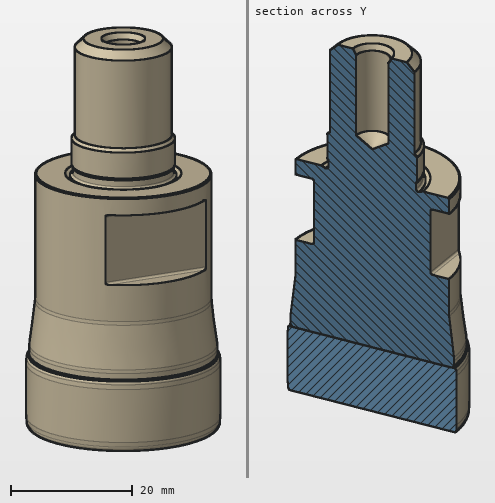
import cadquery as cq
import math

total_height = 66.0

cap_diameter = 31.95
cap_height = 11.9
rim_diameter = 31.15
cap_end_taper = 0.05
cap_taper_height = 0.8
cap_bottom_edge = 0.8
cap_top_edge = 0.45

flare_diameter = 30.95
body_diameter = 29.0
seam_chamfer = 0.3
flare_bottom = 13.5
flare_top = 21.5
flare_blend_radius = 5.0
shoulder_height = 42.95
shoulder_chamfer = 0.2

undercut_diameter = 19.1
undercut_depth = 0.3
neck_fillet = 0.45

neck_diameter = 16.6
pilot_diameter = 17.0
pilot_bottom = 44.55
pilot_top = 49.0
pilot_bottom_chamfer_height = 0.4
pilot_top_chamfer_height = 0.6
shank_diameter = 16.0
tip_chamfer = 1.45

hole_diameter = 6.0
hole_depth = 15.85
hole_mouth_chamfer = 0.6
hole_mouth_depth = 1.05
drill_point_angle = 118.0

flat_spacing = 22.0
flat_bottom = 28.05
flat_height = 11.95
flat_corner_radius = 0.4

cap_radius = cap_diameter / 2
flare_radius = flare_diameter / 2
body_radius = body_diameter / 2
undercut_radius = undercut_diameter / 2
neck_radius = neck_diameter / 2
foot_radius = neck_radius + neck_fillet
pilot_radius = pilot_diameter / 2
shank_radius = shank_diameter / 2
hole_radius = hole_diameter / 2
rim_radius = rim_diameter / 2
dish_height = shoulder_height - undercut_depth


def revolve_about_z(profile):
    """Spin a closed radius-height outline around the Z axis."""
    return profile.close().revolve(360, (0, 0, 0), (0, 1, 0))


def make_cap():
    """Plain cap with slightly tapered ends and rounded rims."""
    tapered_radius = cap_radius - cap_end_taper
    bottom_taper_end = cap_bottom_edge + cap_taper_height
    top_taper_end = cap_height - cap_top_edge
    profile = (
        cq.Workplane("XZ")
        .lineTo(rim_radius, 0)
        .radiusArc((tapered_radius, cap_bottom_edge), -cap_bottom_edge)
        .lineTo(cap_radius, bottom_taper_end)
        .lineTo(cap_radius, top_taper_end - cap_taper_height)
        .lineTo(tapered_radius, top_taper_end)
        .radiusArc((rim_radius, cap_height), -cap_top_edge)
        .lineTo(0, cap_height)
    )
    return revolve_about_z(profile)


def make_flared_housing():
    """Cylinder that flares out towards the cap, with both bends blended."""
    profile = (
        cq.Workplane("XZ")
        .moveTo(0, cap_height)
        .lineTo(flare_radius - seam_chamfer, cap_height)
        .lineTo(flare_radius, cap_height + seam_chamfer)
        .lineTo(flare_radius, flare_bottom)
        .lineTo(body_radius, flare_top)
        .lineTo(body_radius, shoulder_height - shoulder_chamfer)
        .lineTo(body_radius - shoulder_chamfer, shoulder_height)
        .lineTo(0, shoulder_height)
    )
    housing = revolve_about_z(profile)
    flare_middle = (flare_bottom + flare_top) / 2
    flare = housing.faces("%CONE").faces(cq.selectors.NearestToPointSelector((0, 0, flare_middle)))
    return flare.edges("%CIRCLE").fillet(flare_blend_radius)


def make_undercut():
    """Ring-shaped cutter: a shallow dish sloping down to the neck."""
    profile = (
        cq.Workplane("XZ")
        .moveTo(neck_radius, shoulder_height)
        .lineTo(undercut_radius, shoulder_height)
        .lineTo(foot_radius, dish_height)
        .lineTo(neck_radius, dish_height)
    )
    return revolve_about_z(profile)


def make_stem():
    """Filleted foot, neck, pilot and shank with a chamfered tip."""
    profile = (
        cq.Workplane("XZ")
        .moveTo(0, cap_height)
        .lineTo(foot_radius, cap_height)
        .lineTo(foot_radius, dish_height)
        .radiusArc((neck_radius, dish_height + neck_fillet), neck_fillet)
        .lineTo(neck_radius, pilot_bottom - pilot_bottom_chamfer_height)
        .lineTo(pilot_radius, pilot_bottom)
        .lineTo(pilot_radius, pilot_top)
        .lineTo(shank_radius, pilot_top + pilot_top_chamfer_height)
        .lineTo(shank_radius, total_height - tip_chamfer)
        .lineTo(shank_radius - tip_chamfer, total_height)
        .lineTo(0, total_height)
    )
    return revolve_about_z(profile)


def make_tip_hole():
    """Drilled blind hole with a chamfered mouth and a conical end."""
    point_height = hole_radius / math.tan(math.radians(drill_point_angle / 2))
    hole_bottom = total_height - hole_depth
    profile = (
        cq.Workplane("XZ")
        .moveTo(0, hole_bottom - point_height)
        .lineTo(hole_radius, hole_bottom)
        .lineTo(hole_radius, total_height - hole_mouth_depth)
        .lineTo(hole_radius + hole_mouth_chamfer, total_height)
        .lineTo(0, total_height)
    )
    return revolve_about_z(profile)


def make_flat_cutter(side):
    """Block that cuts one wrench flat; side is -1 or +1 along X."""
    cutter_depth = body_radius
    inner_face = "<X" if side > 0 else ">X"
    return (
        cq.Workplane("XY")
        .box(cutter_depth, body_diameter, flat_height)
        .faces(inner_face)
        .edges("|Y")
        .fillet(flat_corner_radius)
        .translate((side * (flat_spacing + cutter_depth) / 2, 0, flat_bottom + flat_height / 2))
    )


def make_body():
    """Flared housing and stem in one piece, with undercut, hole and flats."""
    body = make_flared_housing().cut(make_undercut())
    body = body.union(make_stem()).cut(make_tip_hole())
    for side in (-1, 1):
        body = body.cut(make_flat_cutter(side))
    return body


cap = make_cap()
body = make_body()
result = cq.Compound.makeCompound([cap.val(), *body.vals()])